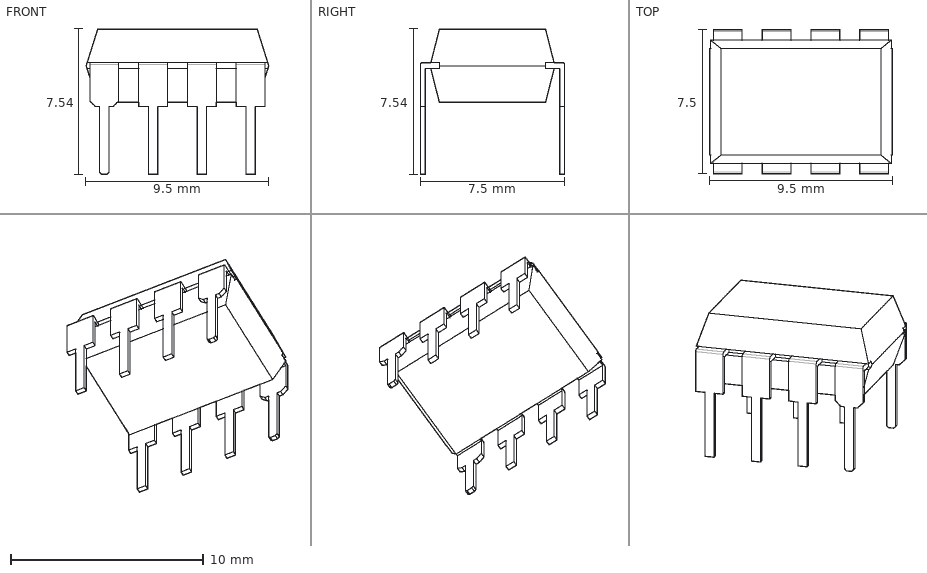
import cadquery as cq

BODY_LENGTH = 9.5
BODY_WIDTH = 6.5
FACE_LENGTH = 8.3
FACE_WIDTH = 5.53
HALF_HEIGHT = 1.9
PARTING_Z = 5.64

LEADS_PER_SIDE = 4
LEAD_PITCH = 2.54
LEAD_SPAN = 7.5
LEAD_WIDTH = 1.5
LEG_WIDTH = 0.49
SHOULDER_Z = 3.515
LEAD_TOP_Z = 5.81
ARM_THICKNESS = 0.31
LEG_THICKNESS = 0.26
BEND_RADIUS = 0.1
SHOULDER_CHAMFER = 0.29
TIP_CHAMFER = 0.1

ARM_BOTTOM_Z = LEAD_TOP_Z - ARM_THICKNESS
LEAD_OUTER_Y = LEAD_SPAN / 2
GROOVE_WALL_Y = FACE_WIDTH / 2


def body_half(direction):
    """Tapered half of the body, growing up (+1) or down (-1) from the parting plane."""
    return (
        cq.Workplane("XY", origin=(0, 0, PARTING_Z))
        .rect(BODY_LENGTH, BODY_WIDTH)
        .workplane(offset=direction * HALF_HEIGHT)
        .rect(FACE_LENGTH, FACE_WIDTH)
        .loft(ruled=True)
    )


def side_groove(side):
    """Full-length slot, one arm thickness high, along the long side at -Y (-1) or +Y (+1)."""
    depth = LEAD_OUTER_Y - GROOVE_WALL_Y
    center = (0, side * (GROOVE_WALL_Y + depth / 2), LEAD_TOP_Z - ARM_THICKNESS / 2)
    return cq.Workplane("XY").box(BODY_LENGTH, depth, ARM_THICKNESS).translate(center)


def front_lead(chamfered):
    """One lead on the -Y side, centered on X = 0."""
    bent_strip = (
        cq.Workplane("YZ")
        .moveTo(-GROOVE_WALL_Y, LEAD_TOP_Z)
        .lineTo(BEND_RADIUS - LEAD_OUTER_Y, LEAD_TOP_Z)
        .radiusArc((-LEAD_OUTER_Y, LEAD_TOP_Z - BEND_RADIUS), -BEND_RADIUS)
        .lineTo(-LEAD_OUTER_Y, 0)
        .lineTo(LEG_THICKNESS - LEAD_OUTER_Y, 0)
        .lineTo(LEG_THICKNESS - LEAD_OUTER_Y, ARM_BOTTOM_Z)
        .lineTo(-GROOVE_WALL_Y, ARM_BOTTOM_Z)
        .close()
        .extrude(LEAD_WIDTH / 2, both=True)
    )
    shoulder_cut = SHOULDER_CHAMFER if chamfered else 0
    tip_cut = TIP_CHAMFER if chamfered else 0
    leg_half = LEG_WIDTH / 2
    lead_half = LEAD_WIDTH / 2
    right_edge = [(leg_half - tip_cut, 0)]
    if chamfered:
        right_edge.append((leg_half, tip_cut))
    right_edge.append((leg_half, SHOULDER_Z))
    right_edge.append((lead_half - shoulder_cut, SHOULDER_Z))
    if chamfered:
        right_edge.append((lead_half, SHOULDER_Z + shoulder_cut))
    right_edge.append((lead_half, LEAD_TOP_Z))
    left_edge = [(-x, z) for x, z in reversed(right_edge)]
    face_outline = cq.Workplane("XZ").polyline(right_edge + left_edge).close().extrude(LEAD_OUTER_Y)
    return bent_strip.intersect(face_outline)


result = body_half(1).union(body_half(-1))
for side in (-1, 1):
    result = result.cut(side_groove(side))

for index in range(LEADS_PER_SIDE):
    lead_x = (index - (LEADS_PER_SIDE - 1) / 2) * LEAD_PITCH
    lead = front_lead(chamfered=index == 0).translate((lead_x, 0, 0))
    result = result.union(lead).union(lead.mirror("XZ"))